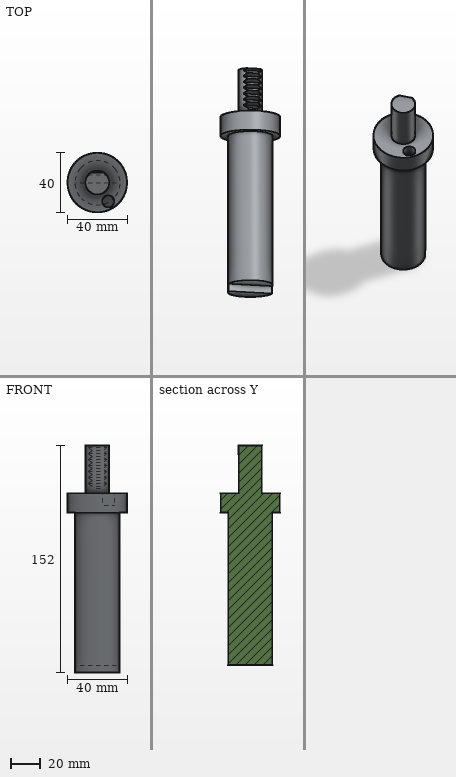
import cadquery as cq

total_height = 152.0
spindle_height = 31.9
flange_height = 13.0
shank_height = total_height - spindle_height - flange_height
flange_top = shank_height + flange_height

flange_diameter = 40.0
shank_diameter = 30.0
spindle_diameter = 16.0

foot_step_height = 5.0

hole_diameter = 8.0
hole_pitch_radius = 14.6
hole_angle = -60.0
hole_depth = 8.0

tooth_pitch = 4.0
tooth_depth = tooth_pitch / 2
tooth_count = 7
tooth_tip_y = 7.3
first_valley_drop = 1.4
rack_bottom = flange_top + 3.2


def cylinder(diameter, height, bottom):
    return cq.Workplane("XY").workplane(offset=bottom).circle(diameter / 2).extrude(height)


def foot_cutter():
    """Box that shortens the +Y half of the shank."""
    return cq.Workplane("XY").box(
        shank_diameter, shank_diameter, foot_step_height, centered=(True, False, False)
    )


def rack_cutter():
    """Prism along X that leaves the V teeth on the spindle."""
    valley_y = tooth_tip_y - tooth_depth
    first_valley = total_height - first_valley_drop
    outline = [
        (spindle_diameter, total_height),
        (valley_y + first_valley_drop, total_height),
    ]
    for tooth in range(tooth_count):
        valley = first_valley - tooth * tooth_pitch
        outline.append((valley_y, valley))
        outline.append((tooth_tip_y, valley - tooth_pitch / 2))
    outline.append((tooth_tip_y, rack_bottom))
    outline.append((spindle_diameter, rack_bottom))
    return cq.Workplane("YZ").polyline(outline).close().extrude(spindle_diameter, both=True)


def flange_hole():
    return (
        cq.Workplane("XY")
        .workplane(offset=flange_top)
        .polarArray(hole_pitch_radius, hole_angle, 360, 1)
        .circle(hole_diameter / 2)
        .extrude(-hole_depth)
    )


shank = cylinder(shank_diameter, shank_height, 0).cut(foot_cutter())
flange = cylinder(flange_diameter, flange_height, shank_height).cut(flange_hole())
spindle = cylinder(spindle_diameter, spindle_height, flange_top).cut(rack_cutter())

result = shank.union(flange).union(spindle)